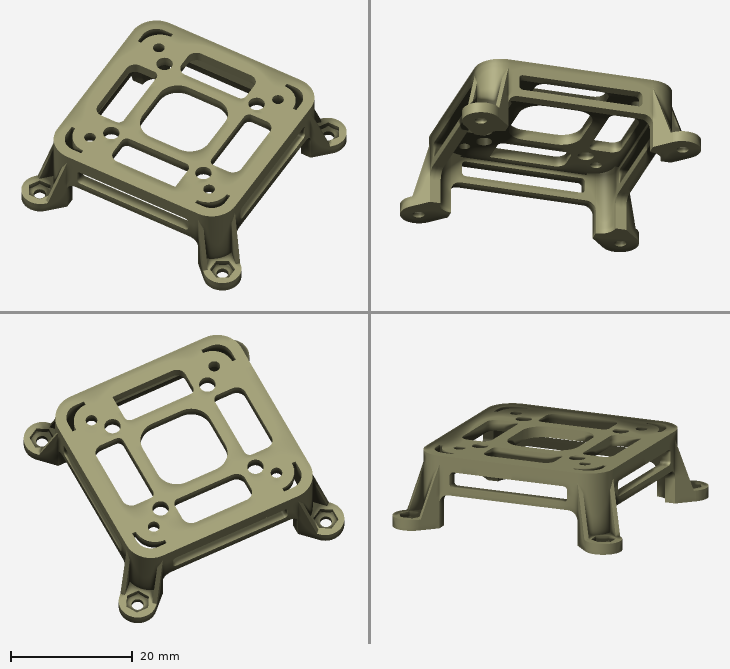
import cadquery as cq
import math

overall_size = 40.85
overall_height = 12.42
plate_size = 33.8
plate_thickness = 1.85
wall_thickness = 1.85

foot_radius = 3.15
foot_thickness = 1.85
rib_thickness = 0.78
rib_base_setback = 0.4
rib_run = 3.85
screw_offset = 17.35
screw_diameter = 2.0
nut_across_flats = 3.6
nut_depth = 1.0
nut_chamfer_angle = 30.0

skirt_bottom = 5.85
skirt_fillet = 1.65
side_slot_length = 21.17
side_slot_bottom = 7.15
side_slot_height = 2.7
side_slot_radius = 0.65

center_window_size = 12.45
center_window_radius = 3.5
window_inner = 8.38
window_outer = 13.7
window_short_end = 6.25
window_long_end = 6.4
window_inner_radius = 1.0
window_outer_radius = 1.65
large_hole_offset = 8.75
large_hole_diameter = 2.7
small_hole_offset = 11.32
small_hole_diameter = 1.92
crescent_end = 10.85
crescent_tip_width = 0.65

half_plate = plate_size / 2
corner_radius = foot_radius * math.sqrt(2)
corner_start = half_plate - corner_radius
cavity_half = half_plate - wall_thickness
cavity_radius = corner_radius - wall_thickness
foot_distance = (overall_size / 2 - foot_radius) * math.sqrt(2)
leg_inner_distance = corner_start * math.sqrt(2)
corner_angles = [45 + 90 * i for i in range(4)]
side_angles = [90 * i for i in range(4)]


def rotated(shape, angle):
    return shape.rotate((0, 0, 0), (0, 0, 1), angle)


def rounded_block(size, height, radius):
    """Square block on the ground plane with rounded upright edges."""
    block = cq.Workplane("XY").rect(size, size).extrude(height)
    return block.edges("|Z").fillet(radius)


def tray_block():
    return rounded_block(plate_size, overall_height, corner_radius)


def tray_cavity():
    depth = overall_height - plate_thickness
    return rounded_block(2 * cavity_half, depth, cavity_radius)


def foot():
    """Foot lying along +X: a flat tongue with a round end."""
    length = foot_distance - leg_inner_distance
    tongue = (
        cq.Workplane("XY")
        .center(leg_inner_distance + length / 2, 0)
        .rect(length, 2 * foot_radius)
        .extrude(foot_thickness)
    )
    end = cq.Workplane("XY").center(foot_distance, 0).circle(foot_radius).extrude(foot_thickness)
    return tongue.union(end)


def gusset_ribs():
    """Two leaning ribs along the sides of the foot that lies along +X."""
    base = foot_distance - rib_base_setback
    top = base - rib_run
    profile = [
        (leg_inner_distance, 0),
        (base, 0),
        (base, foot_thickness),
        (top, overall_height),
        (leg_inner_distance, overall_height),
    ]
    rib = cq.Workplane("XZ", origin=(0, foot_radius, 0)).polyline(profile).close().extrude(rib_thickness)
    return rib.union(rib.mirror("XZ"))


def nut_pocket():
    """Hexagonal pocket with two corners along X and its lower corners bevelled like a nut."""
    floor = foot_thickness - nut_depth
    floor_radius = nut_across_flats / 2
    flare = nut_depth / math.tan(math.radians(nut_chamfer_angle))
    hexagon = (
        cq.Workplane("XY")
        .workplane(offset=floor)
        .polygon(6, nut_across_flats, circumscribed=True)
        .extrude(nut_depth)
    )
    bevel_profile = [
        (0, floor),
        (floor_radius, floor),
        (floor_radius + flare, foot_thickness),
        (0, foot_thickness),
    ]
    bevel = cq.Workplane("XZ").polyline(bevel_profile).close().revolve(360, (0, 0, 0), (0, 1, 0))
    return rotated(hexagon, 90).intersect(bevel)


def foot_hole():
    """Screw hole and nut pocket of the +X +Y foot."""
    screw = cq.Workplane("XY").circle(screw_diameter / 2).extrude(foot_thickness)
    return screw.union(nut_pocket()).translate((screw_offset, screw_offset, 0))


def skirt_cut():
    """Opening between the legs, running right through along Y."""
    opening = cq.Workplane("XY").box(
        2 * corner_start, overall_size, skirt_bottom, centered=(True, True, False)
    )
    return opening.edges("|Y and >Z").fillet(skirt_fillet)


def side_slot():
    """Long slot through both walls along Y."""
    slot = cq.Workplane("XY").box(
        side_slot_length, overall_size, side_slot_height, centered=(True, True, False)
    )
    return slot.edges("|Y").fillet(side_slot_radius).translate((0, 0, side_slot_bottom))


def plate_window(square_outer_corner, wide_inner_corner):
    """Window on the -Y side, whose two +X corners vary from side to side."""
    window = (
        cq.Workplane("XY")
        .moveTo(-window_long_end, -window_outer)
        .lineTo(window_short_end, -window_outer)
        .lineTo(window_short_end, -window_inner)
        .lineTo(-window_long_end, -window_inner)
        .close()
        .extrude(overall_height)
    )
    inner_radius = window_outer_radius if wide_inner_corner else window_inner_radius
    window = window.edges("(|Z and >Y) and <X").fillet(window_inner_radius)
    window = window.edges("(|Z and >Y) and >X").fillet(inner_radius)
    window = window.edges("(|Z and <Y) and <X").fillet(window_outer_radius)
    if not square_outer_corner:
        window = window.edges("(|Z and <Y) and >X").fillet(window_outer_radius)
    return window


def crescent():
    """Crescent opening in the +X +Y corner of the plate."""
    tip = cavity_half - crescent_tip_width
    diagonal = math.sqrt(0.5)
    outer_center = cavity_half - cavity_radius
    outer_middle = outer_center + cavity_radius * diagonal
    inner_middle = crescent_end + (tip - crescent_end) * diagonal
    return (
        cq.Workplane("XY")
        .moveTo(cavity_half, crescent_end)
        .lineTo(cavity_half, outer_center)
        .threePointArc((outer_middle, outer_middle), (outer_center, cavity_half))
        .lineTo(crescent_end, cavity_half)
        .lineTo(crescent_end, tip)
        .threePointArc((inner_middle, inner_middle), (tip, crescent_end))
        .close()
        .extrude(overall_height)
    )


def plate_holes(offset, diameter):
    return (
        cq.Workplane("XY")
        .rect(2 * offset, 2 * offset, forConstruction=True)
        .vertices()
        .circle(diameter / 2)
        .extrude(overall_height)
    )


result = tray_block()
for angle in corner_angles:
    result = result.union(rotated(foot(), angle))
    result = result.union(rotated(gusset_ribs(), angle))
result = result.cut(tray_cavity())

for angle in (0, 90):
    result = result.cut(rotated(skirt_cut(), angle))
    result = result.cut(rotated(side_slot(), angle))

for angle in side_angles:
    window = plate_window(square_outer_corner=angle == 0, wide_inner_corner=angle == 180)
    result = result.cut(rotated(window, angle))
    result = result.cut(rotated(crescent(), angle))
    result = result.cut(rotated(foot_hole(), angle))

center_window = rounded_block(center_window_size, overall_height, center_window_radius)
result = result.cut(center_window)
result = result.cut(plate_holes(large_hole_offset, large_hole_diameter))
result = result.cut(plate_holes(small_hole_offset, small_hole_diameter))